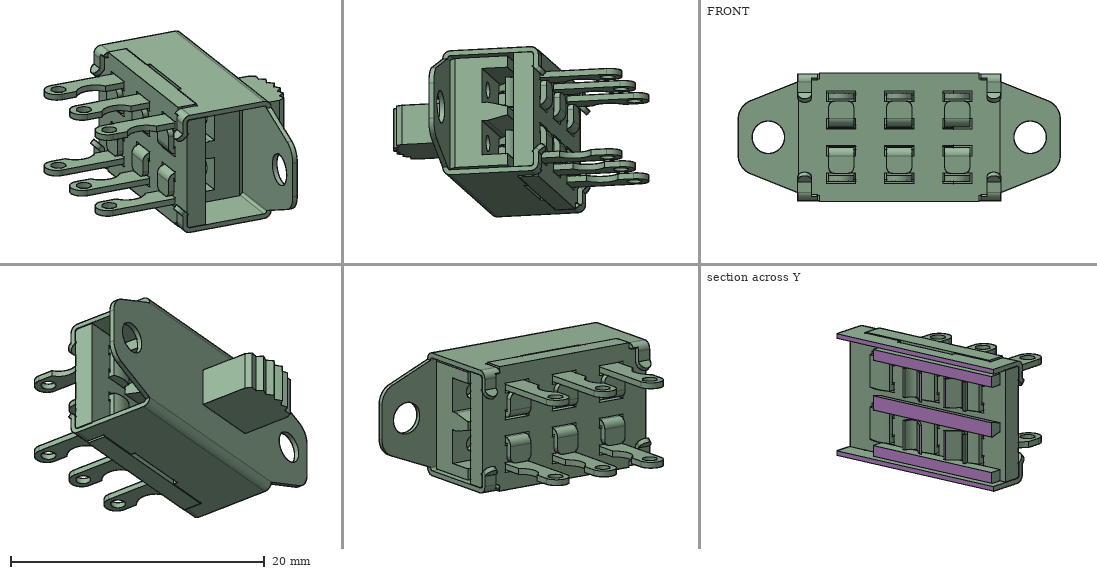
import cadquery as cq
import math


overall_length = 25.4
overall_depth = 19.0
knob_tip_y = 5.33
terminal_tip_y = knob_tip_y - overall_depth

sheet = 0.4
shell_length = 16.0
shell_height = 10.0
shell_depth = 7.75
bend_radius = 0.64
inner_bend_radius = bend_radius - sheet
shell_inner_height = shell_height - 2 * sheet
notch_length = 12.9
slot_length = 5.6
slot_y = -5.35

lug_end_height = 4.98
lug_root_height = shell_height - 2 * bend_radius
lug_corner_radius = 1.57
lug_hole_diameter = 2.55
lug_hole_spacing = 20.62

finger_width = 1.1
finger_bend_z = 3.43
finger_tip_length = 0.75
finger_tip_angle = 45
collar_arc_angle = 60

base_back_y = -5.72
base_front_y = sheet - shell_depth
base_depth = base_back_y - base_front_y
base_length = 15.85
lip_length = 12.6
lip_height = 10.15

slider_length = 12.1
slider_center_x = -1.78
slider_height = 8.8
slider_front_y = -5.2
slider_chamfer = 0.55
knob_width = 5.5
knob_height = 3.18
knob_teeth = [
    (0, 4.95), (0.53, knob_tip_y), (1.0, 4.85), (1.57, 5.08),
    (1.9, 4.57), (2.51, 4.65), (knob_width / 2, 4.15),
]

pocket_floor_y = -3.15
pocket_outer_z = 3.48
spine_half_height = 0.74
spine_tip_half_height = 0.35
spine_taper_y = -3.6
spring_hole_diameter = 1.27
spring_hole_depth = 1.02
spring_hole_spacing = 8.13

pitch = 4.57
contact_sheet = 0.48
contact_width = 1.98
contact_back_y = -5.33
contact_crown = 0.23
terminal_z = 3.48
inner_leg_z = 0.81
row_z = (terminal_z + inner_leg_z) / 2
terminal_hole_diameter = 1.17
terminal_hole_y = -12.52
terminal_arc_y = -12.7
relief_y = -10.15
relief_chord = 2.55
relief_depth = 0.69
base_slot_length = 2.29
base_slot_height = 0.81
tab_end_z = 2.87
tab_corner_radius = 0.5
fold_radius = 0.65
tab_outer_y = base_front_y - contact_sheet

leaf_sheet = 0.23
leaf_height = 2.4
leaf_reach = 2.29
leaf_flat_half = 0.25
leaf_bump_radius = 0.9
leaf_tip_y = -5.23
leaf_hole_diameter = 1.27
leaf_hole_y = -3.43
post_width = 0.97
post_chamfer = 0.15
post_end_y = -4.0


def box(x_range, y_range, z_range):
    """Box between the given limits on each axis."""
    sizes = [high - low for low, high in (x_range, y_range, z_range)]
    corner = (x_range[0], y_range[0], z_range[0])
    return cq.Workplane("XY").box(*sizes, centered=False).translate(corner)


def centered_box(length, y_range, height):
    """Box centred on X = 0 and Z = 0."""
    return box((-length / 2, length / 2), y_range, (-height / 2, height / 2))


def facing_back(y):
    """Sketch plane at the given Y: local axes are X and Z, extruding towards -Y."""
    return cq.Workplane("XZ", origin=(0, y, 0))


def facing_side(x):
    """Sketch plane at the given X: local axes are Y and Z, extruding towards +X."""
    return cq.Workplane("YZ", origin=(x, 0, 0))


def facing_up(z):
    """Sketch plane at the given Z: local axes are X and Y, extruding towards +Z."""
    return cq.Workplane("XY", origin=(0, 0, z))


def both_ways(body, plane):
    """The body together with its mirror image."""
    return body.union(body.mirror(plane))


def make_shell():
    outer = centered_box(shell_length, (-shell_depth, 0), shell_height)
    outer = outer.edges("|X").fillet(bend_radius)
    inner = centered_box(shell_length, (base_front_y, -sheet), shell_inner_height)
    inner = inner.edges("|X").fillet(inner_bend_radius)
    shell = outer.cut(inner)

    shell = shell.cut(centered_box(shell_length, (-shell_depth, base_front_y), 2 * finger_bend_z))
    shell = shell.cut(centered_box(notch_length, (-shell_depth, base_back_y), shell_height))
    shell = shell.cut(centered_box(slot_length, (base_back_y, slot_y), shell_height))

    bend_y = bend_radius - shell_depth
    bend_z = shell_height / 2 - bend_radius
    reach = 2 * bend_radius
    stop_angle = math.radians(90 - collar_arc_angle)
    front_of_bend = (-shell_depth, base_front_y + inner_bend_radius)
    wedge = (
        facing_side(notch_length / 2)
        .moveTo(bend_y, bend_z)
        .lineTo(bend_y - reach * math.cos(stop_angle), bend_z + reach * math.sin(stop_angle))
        .lineTo(bend_y - reach, 0)
        .lineTo(bend_y, 0)
        .close()
        .extrude((shell_length - notch_length) / 2 - finger_width)
        .intersect(centered_box(shell_length, front_of_bend, shell_height))
    )
    shell = shell.cut(both_ways(both_ways(wedge, "YZ"), "XY"))
    return shell.union(make_finger_tips())


def make_finger_tips():
    """Rounded finger ends, bent outwards away from the base."""
    radius = finger_width / 2
    straight = finger_tip_length - radius
    tip = (
        facing_back(sheet / 2)
        .moveTo(-radius, sheet / 2)
        .lineTo(-radius, -straight)
        .threePointArc((0, -finger_tip_length), (radius, -straight))
        .lineTo(radius, sheet / 2)
        .close()
        .extrude(sheet)
        .rotate((0, 0, 0), (1, 0, 0), -finger_tip_angle)
        .translate((shell_length / 2 - radius, sheet / 2 - shell_depth, finger_bend_z))
    )
    return both_ways(both_ways(tip, "YZ"), "XY")


def make_lugs():
    half_length = overall_length / 2
    lug = (
        facing_back(0)
        .polyline([
            (0, -lug_root_height / 2),
            (shell_length / 2, -lug_root_height / 2),
            (half_length, -lug_end_height / 2),
            (half_length, lug_end_height / 2),
            (shell_length / 2, lug_root_height / 2),
            (0, lug_root_height / 2),
        ])
        .close()
        .extrude(sheet)
        .edges("|Y and >X")
        .fillet(lug_corner_radius)
    )
    hole = facing_back(0).center(lug_hole_spacing / 2, 0).circle(lug_hole_diameter / 2).extrude(sheet)
    return both_ways(lug.cut(hole), "YZ")


def make_base():
    base_y = (base_front_y, base_back_y)
    base = centered_box(base_length, base_y, shell_inner_height)
    base = base.union(centered_box(lip_length, base_y, lip_height))
    leg_centers = (terminal_z - contact_sheet / 2, inner_leg_z + contact_sheet / 2)
    slots = (
        facing_back(base_back_y)
        .pushPoints([
            (column * pitch, side * z)
            for column in (-1, 0, 1)
            for side in (-1, 1)
            for z in leg_centers
        ])
        .rect(base_slot_length, base_slot_height)
        .extrude(base_depth)
    )
    return base.cut(slots)


def make_knob():
    left = [(-x, y) for x, y in reversed(knob_teeth)]
    outline = left + knob_teeth[1:]
    root = [(knob_width / 2, -sheet), (-knob_width / 2, -sheet)]
    return (
        facing_up(-knob_height / 2)
        .polyline(outline + root)
        .close()
        .extrude(knob_height)
        .translate((slider_center_x, 0, 0))
    )


def make_slider():
    slider = centered_box(slider_length, (slider_front_y, -sheet), slider_height)
    slider = slider.edges("|Z and >Y").chamfer(slider_chamfer)
    pocket = (
        facing_side(-slider_length / 2)
        .polyline([
            (pocket_floor_y, pocket_outer_z),
            (slider_front_y, pocket_outer_z),
            (slider_front_y, spine_tip_half_height),
            (spine_taper_y, spine_half_height),
            (pocket_floor_y, spine_half_height),
        ])
        .close()
        .extrude(slider_length)
    )
    spring_holes = (
        facing_back(pocket_floor_y + spring_hole_depth)
        .pushPoints([(-spring_hole_spacing / 2, row_z), (spring_hole_spacing / 2, row_z)])
        .circle(spring_hole_diameter / 2)
        .extrude(spring_hole_depth)
    )
    slider = slider.cut(both_ways(pocket.union(spring_holes), "XY"))
    moving_contact = make_moving_contact()
    return slider.union(both_ways(moving_contact, "XY")).translate((slider_center_x, 0, 0))


def make_moving_contact():
    """Bent leaf with a bump at each end, and the post that carries it."""
    bump_y = leaf_tip_y + leaf_bump_radius
    bump_inner_radius = leaf_bump_radius - leaf_sheet
    wing = (
        facing_up(row_z - leaf_height / 2)
        .moveTo(0, pocket_floor_y)
        .lineTo(leaf_flat_half, pocket_floor_y)
        .lineTo(leaf_reach, leaf_tip_y + leaf_sheet)
        .radiusArc((leaf_reach + bump_inner_radius, bump_y), -bump_inner_radius)
        .lineTo(leaf_reach + leaf_bump_radius, bump_y)
        .radiusArc((leaf_reach, leaf_tip_y), leaf_bump_radius)
        .lineTo(leaf_flat_half, pocket_floor_y - leaf_sheet)
        .lineTo(0, pocket_floor_y - leaf_sheet)
        .close()
        .extrude(leaf_height)
    )
    leaf = both_ways(wing, "YZ")
    hole = (
        facing_side(-leaf_reach)
        .center(leaf_hole_y, row_z)
        .circle(leaf_hole_diameter / 2)
        .extrude(2 * leaf_reach)
    )
    post = (
        facing_back(pocket_floor_y)
        .center(0, row_z)
        .rect(post_width, post_width)
        .extrude(pocket_floor_y - post_end_y)
        .edges("|X and <Y")
        .chamfer(post_chamfer)
    )
    return leaf.cut(hole).union(post)


def make_terminal():
    """Solder terminal with a rounded end, an eye and a relief on its +X edge."""
    half = contact_width / 2
    relief_half = relief_chord / 2
    return (
        facing_up(terminal_z - contact_sheet)
        .moveTo(-half, contact_back_y)
        .lineTo(-half, terminal_arc_y)
        .threePointArc((0, terminal_tip_y), (half, terminal_arc_y))
        .lineTo(half, relief_y - relief_half)
        .threePointArc((half - relief_depth, relief_y), (half, relief_y + relief_half))
        .lineTo(half, contact_back_y)
        .close()
        .moveTo(0, terminal_hole_y)
        .circle(terminal_hole_diameter / 2)
        .extrude(contact_sheet)
    )


def make_clinched_leg():
    """Crowned web behind the base, and the inner leg folded flat over the base's front."""
    half = contact_width / 2
    web = (
        facing_up(inner_leg_z)
        .moveTo(-half, base_back_y)
        .lineTo(-half, contact_back_y)
        .threePointArc((0, contact_back_y + contact_crown), (half, contact_back_y))
        .lineTo(half, base_back_y)
        .close()
        .extrude(terminal_z - inner_leg_z)
    )
    leg = box((-half, half), (tab_outer_y, base_back_y), (inner_leg_z, inner_leg_z + contact_sheet))
    tab = box((-half, half), (tab_outer_y, base_front_y), (inner_leg_z, tab_end_z))
    tab = tab.edges("|Y and >Z").fillet(tab_corner_radius)
    folded = leg.union(tab).edges("|X and <Y and <Z").fillet(fold_radius)
    return web.union(folded)


def make_contacts():
    contact = make_terminal().union(make_clinched_leg())
    rows = contact.union(contact.rotate((0, 0, 0), (0, 1, 0), 180))
    contacts = rows
    for column in (-1, 1):
        contacts = contacts.union(rows.translate((column * pitch, 0, 0)))
    return contacts


result = (
    make_shell()
    .union(make_lugs())
    .union(make_base())
    .union(make_knob())
    .union(make_slider())
    .union(make_contacts())
)